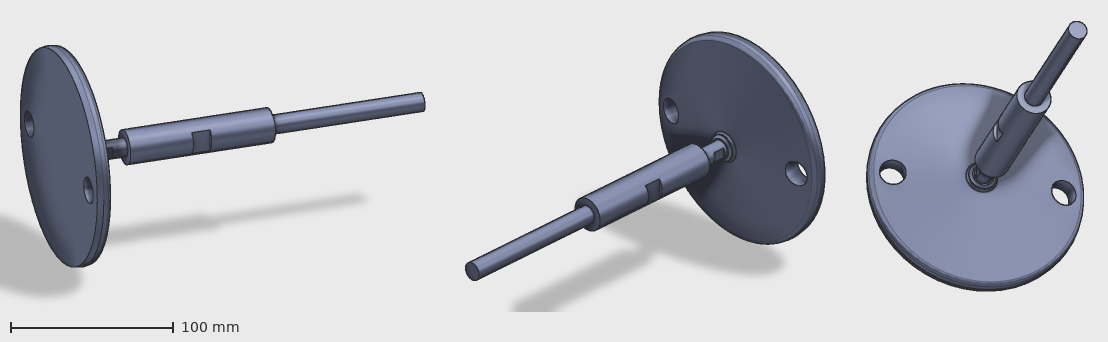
import cadquery as cq
import math

OVERALL_LENGTH = 238.0

BASE_DIAMETER = 138.0
RIM_FACE_RADIUS = 68.3
CROWN_Y = 4.0
CONE_ANGLE = 10.0
CONE_TOP_RADIUS = 10.5
CONE_TOP_Y = 19.3
RIM_FILLET = 2.9
EDGE_SEARCH_MARGIN = 0.2
COLLAR_FOOT_RADIUS = 10.0
COLLAR_RADIUS = 8.8
COLLAR_BEAD_Y = 20.7
COLLAR_SHOULDER_Y = 21.7
COLLAR_TOP_RADIUS = 7.0
COLLAR_TOP_Y = 22.8
SOCKET_FLOOR_Y = 9.5

HOLE_DIAMETER = 16.5
HOLE_OFFSET = 52.5
HOLE_CUT_LENGTH = 47.5

STEM_DIAMETER = 12.0
STEM_FLATS_WIDTH = 9.8
STEM_FLATS_START_Y = 25.0
STEM_FLATS_END_Y = 33.3

SLEEVE_DIAMETER = 22.0
SLEEVE_START_Y = 43.0
SLEEVE_END_Y = 138.0
SLEEVE_FLATS_WIDTH = 17.0
SLEEVE_FLATS_START_Y = 84.3
SLEEVE_FLATS_END_Y = 96.2


def cylinder_along_y(diameter, start_y, end_y):
    """Solid cylinder on the Y axis between two heights."""
    return (
        cq.Workplane("XZ", origin=(0, start_y, 0))
        .circle(diameter / 2)
        .extrude(start_y - end_y)
    )


def cut_wrench_flats(body, diameter, width, start_y, end_y):
    """Cut two opposite flats, facing +X and -X, leaving the given width."""
    length = end_y - start_y
    for side in (-1, 1):
        cutter = (
            cq.Workplane("XY")
            .box(diameter, length, 2 * diameter)
            .translate((side * (width + diameter) / 2, start_y + length / 2, 0))
        )
        body = body.cut(cutter)
    return body


def make_mounting_hole(side):
    """Cutter leaning outward so that it crosses the cone at a right angle."""
    lean = math.radians(CONE_ANGLE)
    direction = cq.Vector(side * math.sin(lean), math.cos(lean), 0)
    underside_center = cq.Vector(side * HOLE_OFFSET, 0, 0)
    start = underside_center - direction * (HOLE_CUT_LENGTH / 2)
    return cq.Solid.makeCylinder(HOLE_DIAMETER / 2, HOLE_CUT_LENGTH, start, direction)


def make_base():
    cone_drop = (RIM_FACE_RADIUS - CONE_TOP_RADIUS) * math.tan(math.radians(CONE_ANGLE))
    cone_foot_y = CONE_TOP_Y - cone_drop
    profile = (
        cq.Workplane("XY")
        .lineTo(RIM_FACE_RADIUS, 0)
        .lineTo(BASE_DIAMETER / 2, CROWN_Y)
        .lineTo(RIM_FACE_RADIUS, cone_foot_y)
        .lineTo(CONE_TOP_RADIUS, CONE_TOP_Y)
        .lineTo(COLLAR_FOOT_RADIUS, CONE_TOP_Y)
        .lineTo(COLLAR_RADIUS, COLLAR_BEAD_Y)
        .lineTo(COLLAR_RADIUS, COLLAR_SHOULDER_Y)
        .lineTo(COLLAR_TOP_RADIUS, COLLAR_TOP_Y)
        .lineTo(0, COLLAR_TOP_Y)
        .close()
    )
    body = profile.revolve(360, (0, 0, 0), (0, 1, 0))
    cone_foot_edge = cq.selectors.BoxSelector(
        (-BASE_DIAMETER, cone_foot_y - EDGE_SEARCH_MARGIN, -BASE_DIAMETER),
        (BASE_DIAMETER, cone_foot_y + EDGE_SEARCH_MARGIN, BASE_DIAMETER),
        boundingbox=True,
    )
    body = body.edges(cone_foot_edge).fillet(RIM_FILLET)
    for side in (-1, 1):
        body = body.cut(cq.Workplane(make_mounting_hole(side)))
    socket = cylinder_along_y(STEM_DIAMETER, SOCKET_FLOOR_Y, COLLAR_TOP_Y)
    return body.cut(socket)


def make_stem():
    rod = cylinder_along_y(STEM_DIAMETER, SOCKET_FLOOR_Y, OVERALL_LENGTH)
    return cut_wrench_flats(
        rod, STEM_DIAMETER, STEM_FLATS_WIDTH, STEM_FLATS_START_Y, STEM_FLATS_END_Y
    )


def make_sleeve():
    outside = cylinder_along_y(SLEEVE_DIAMETER, SLEEVE_START_Y, SLEEVE_END_Y)
    bore = cylinder_along_y(STEM_DIAMETER, SLEEVE_START_Y, SLEEVE_END_Y)
    return cut_wrench_flats(
        outside.cut(bore), SLEEVE_DIAMETER, SLEEVE_FLATS_WIDTH,
        SLEEVE_FLATS_START_Y, SLEEVE_FLATS_END_Y
    )


base = make_base()
stem = make_stem()
sleeve = make_sleeve()

result = cq.Compound.makeCompound([base.val(), stem.val(), sleeve.val()])